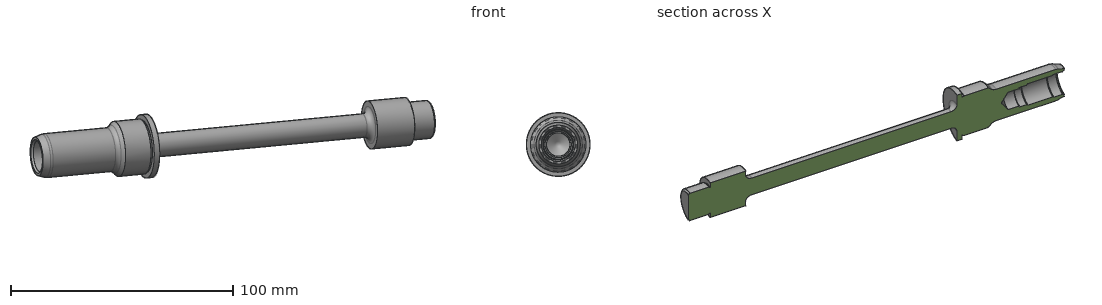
import cadquery as cq
import math

length = 188.0

nose_diameter = 17.5
barrel_diameter = 20.0
shoulder_diameter = 21.8
front_collar_diameter = 25.0
flange_diameter = 28.8
rod_diameter = 10.7
back_collar_diameter = 21.8
plug_base_diameter = 16.4
plug_diameter = 17.3
plug_tip_diameter = 15.8

nose_end = 3.2
nose_blend_end = 4.3
shoulder_start = 36.5
front_collar_end = 50.2
flange_start = 51.1
flange_end = 53.8
back_collar_start = 159.2
back_collar_end = 177.0

nose_blend_width = 0.2
collar_chamfer_width = 0.5
plug_taper_length = 0.8
rod_fillet = 3.0

mouth_diameter = 15.2
counterbore_diameter = 14.0
upper_bore_diameter = 13.2
lower_bore_diameter = 11.8
drill_diameter = 10.5
mouth_depth = 1.0
counterbore_depth = 5.3
counterbore_taper_length = 0.5
upper_bore_depth = 18.2
lower_bore_depth = 22.5
drill_depth = 28.2
drill_point_angle = 118.0


def revolve_about_y(profile):
    """Turn a closed half profile, drawn in the XY plane, about the Y axis."""
    return profile.revolve(360, (0, 0, 0), (0, 1, 0))


def shaft():
    """Solid outer body."""
    barrel = barrel_diameter / 2
    shoulder = shoulder_diameter / 2
    front_collar = front_collar_diameter / 2
    flange = flange_diameter / 2
    rod = rod_diameter / 2
    back_collar = back_collar_diameter / 2
    plug_base = plug_base_diameter / 2
    plug = plug_diameter / 2
    plug_tip = plug_tip_diameter / 2

    cone_angle = math.radians(45)
    front_collar_start = shoulder_start + (front_collar - shoulder) / math.tan(cone_angle)
    shoulder_fillet = (shoulder - barrel) / (1 - math.cos(cone_angle))
    barrel_end = shoulder_start - shoulder_fillet * math.sin(cone_angle)
    shoulder_arc_middle = (
        barrel + shoulder_fillet * (1 - math.cos(cone_angle / 2)),
        barrel_end + shoulder_fillet * math.sin(cone_angle / 2),
    )

    fillet_sag = rod_fillet * (1 - math.cos(math.radians(45)))

    profile = (
        cq.Workplane("XY")
        .lineTo(nose_diameter / 2, 0)
        .lineTo(barrel - nose_blend_width, nose_end)
        .lineTo(barrel, nose_blend_end)
        .lineTo(barrel, barrel_end)
        .threePointArc(shoulder_arc_middle, (shoulder, shoulder_start))
        .lineTo(front_collar, front_collar_start)
        .lineTo(front_collar, front_collar_end)
        .lineTo(front_collar - collar_chamfer_width, flange_start)
        .lineTo(flange, flange_start)
        .lineTo(flange, flange_end)
        .lineTo(rod + rod_fillet, flange_end)
        .threePointArc((rod + fillet_sag, flange_end + fillet_sag), (rod, flange_end + rod_fillet))
        .lineTo(rod, back_collar_start - rod_fillet)
        .threePointArc(
            (rod + fillet_sag, back_collar_start - fillet_sag),
            (rod + rod_fillet, back_collar_start),
        )
        .lineTo(back_collar, back_collar_start)
        .lineTo(back_collar, back_collar_end)
        .lineTo(plug_base, back_collar_end)
        .lineTo(plug, back_collar_end + plug_taper_length)
        .lineTo(plug, length - plug_taper_length)
        .lineTo(plug_tip, length)
        .lineTo(0, length)
        .close()
    )
    return revolve_about_y(profile)


def stepped_bore():
    """Blind bore narrowing from the chamfered mouth to a conical drill point."""
    counterbore = counterbore_diameter / 2
    upper_bore = upper_bore_diameter / 2
    lower_bore = lower_bore_diameter / 2
    drill = drill_diameter / 2
    step_taper_length = upper_bore - lower_bore
    point_length = drill / math.tan(math.radians(drill_point_angle / 2))

    profile = (
        cq.Workplane("XY")
        .lineTo(mouth_diameter / 2, 0)
        .lineTo(counterbore, mouth_depth)
        .lineTo(counterbore, counterbore_depth)
        .lineTo(upper_bore, counterbore_depth + counterbore_taper_length)
        .lineTo(upper_bore, upper_bore_depth)
        .lineTo(lower_bore, upper_bore_depth + step_taper_length)
        .lineTo(lower_bore, lower_bore_depth)
        .lineTo(drill, lower_bore_depth)
        .lineTo(drill, drill_depth)
        .lineTo(0, drill_depth + point_length)
        .close()
    )
    return revolve_about_y(profile)


result = shaft().cut(stepped_bore())